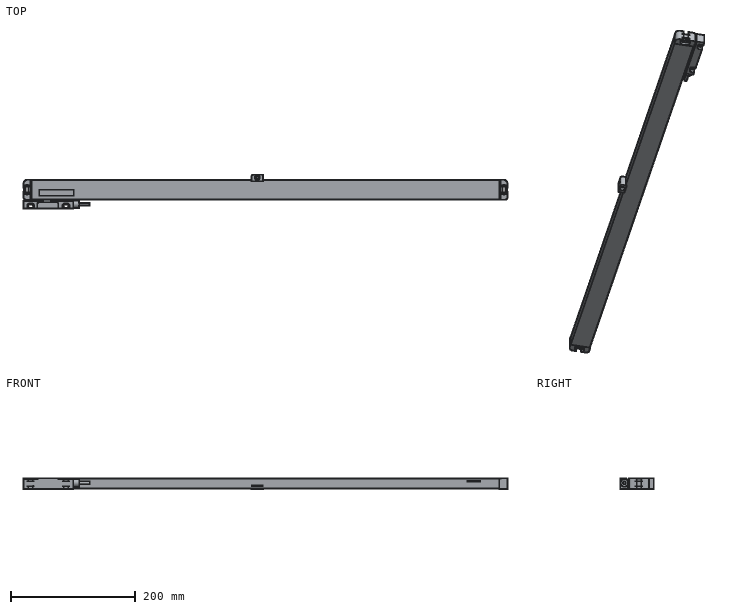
import cadquery as cq

LENGTH = 775.0
HEIGHT = 18.0
COUNTERBORE_DEPTH = 5.0

SCALE_FRONT = 14.0
SCALE_BACK = 46.5
SCALE_MID_Y = (SCALE_FRONT + SCALE_BACK) / 2
BAR_INSET = 0.4
BAR_EDGE_CHAMFER = 1.0
CAP_LENGTH = 13.0
CAP_BACK_RADIUS = 7.0
CAP_FRONT_RADIUS = 5.0
JOINT_GROOVE_WIDTH = 2.0
JOINT_GROOVE_DEPTH = 1.0
END_GROOVE_WIDTH = 7.0
END_GROOVE_DEPTH = 1.0

ALONG_X = 0
ALONG_Y = 90

CAP_SLOT_FROM_END = 5.8
CAP_SLOT_LENGTH = 10.0
CAP_SLOT_WIDTH = 5.0
CAP_BORE_LENGTH = 15.5
CAP_BORE_WIDTH = 12.5

RECESS_DEPTH = 0.4
LABEL_LEFT = 25.5
LABEL_LENGTH = 55.0
LABEL_FRONT = 21.0
LABEL_WIDTH = 9.0
MARK_HEIGHT = 1.5
LOWER_MARK_X = 374.0
LOWER_MARK_LENGTH = 17.0
LOWER_MARK_Z = 5.5
UPPER_MARK_X = 721.0
UPPER_MARK_LENGTH = 21.0
UPPER_MARK_Z = HEIGHT - LOWER_MARK_Z

TAB_MID_X = 374.0
TAB_LENGTH = 18.5
TAB_FRONT = 44.0
TAB_BACK = 54.0
TAB_CORNER_RADIUS = 3.0
TAB_HOLE_Y = 49.5
TAB_HOLE_DIAMETER = 4.0
TAB_BORE_DIAMETER = 8.0

HEAD_LENGTH = 80.0
HEAD_BACK = 12.5
EAR_HEIGHT = 16.0
PAD_LEFT = 22.5
PAD_RIGHT = 56.0
PAD_BACK = 10.0
PAD_CORNER_RADIUS = 2.0
BRIDGE_LEFT = 31.0
BRIDGE_RIGHT = 44.0

HEAD_SLOT_XS = (12.0, 68.0)
HEAD_SLOT_Y = 4.0
HEAD_SLOT_LENGTH = 8.5
HEAD_SLOT_WIDTH = 5.0
HEAD_BORE_LENGTH = 12.0
HEAD_BORE_WIDTH = 8.9

CABLE_Y = 7.0
CABLE_Z = 10.0
SLEEVE_RADIUS = 6.0
SLEEVE_END = 89.0
CABLE_RADIUS = 2.0
CABLE_END = 106.0


def block(x_range, y_range, z_range):
    """Box between two limits on each axis."""
    length, width, height = (high - low for low, high in (x_range, y_range, z_range))
    plane = cq.Workplane("XY", origin=(x_range[0], y_range[0], z_range[0]))
    return plane.box(length, width, height, centered=False)


def rod(start_x, end_x, radius):
    """Round rod along X on the cable axis."""
    plane = cq.Workplane("YZ", origin=(start_x, CABLE_Y, CABLE_Z))
    return plane.circle(radius).extrude(end_x - start_x)


def counterbored_slot(x, y, slot_size, bore_size, angle):
    """Cutter for a through slot that is counterbored from the top and the bottom."""
    plane = cq.Workplane("XY", origin=(x, y, 0))
    through = plane.slot2D(*slot_size, angle).extrude(HEIGHT)
    lower_bore = plane.slot2D(*bore_size, angle).extrude(COUNTERBORE_DEPTH)
    upper_bore = lower_bore.translate((0, 0, HEIGHT - COUNTERBORE_DEPTH))
    return through.union(lower_bore).union(upper_bore)


def make_left_cap():
    """End cap with rounded outer corners, a joint groove, an end groove and a screw slot."""
    cap = block((0, CAP_LENGTH), (SCALE_FRONT, SCALE_BACK), (0, HEIGHT))
    cap = cap.edges("|Z and <X and >Y").fillet(CAP_BACK_RADIUS)
    cap = cap.edges("|Z and <X and <Y").fillet(CAP_FRONT_RADIUS)
    joint_groove = block(
        (CAP_LENGTH - JOINT_GROOVE_WIDTH, CAP_LENGTH),
        (SCALE_FRONT, SCALE_BACK),
        (HEIGHT - JOINT_GROOVE_DEPTH, HEIGHT),
    )
    end_groove = block(
        (0, END_GROOVE_DEPTH),
        (SCALE_MID_Y - END_GROOVE_WIDTH / 2, SCALE_MID_Y + END_GROOVE_WIDTH / 2),
        (0, HEIGHT),
    )
    cap = cap.cut(joint_groove).cut(end_groove)
    return cap.cut(
        counterbored_slot(
            CAP_SLOT_FROM_END,
            SCALE_MID_Y,
            (CAP_SLOT_LENGTH, CAP_SLOT_WIDTH),
            (CAP_BORE_LENGTH, CAP_BORE_WIDTH),
            ALONG_Y,
        )
    )


def make_bar():
    """Long bar with bevelled front edges, a label recess and two front marks."""
    front = SCALE_FRONT + BAR_INSET
    top = HEIGHT - BAR_INSET
    bar = block((CAP_LENGTH, LENGTH - CAP_LENGTH), (front, SCALE_BACK - BAR_INSET), (BAR_INSET, top))
    bar = bar.edges("|X and <Y").chamfer(BAR_EDGE_CHAMFER)
    label = block(
        (LABEL_LEFT, LABEL_LEFT + LABEL_LENGTH),
        (LABEL_FRONT, LABEL_FRONT + LABEL_WIDTH),
        (top - RECESS_DEPTH, top),
    )
    bar = bar.cut(label)
    marks = (
        (LOWER_MARK_X, LOWER_MARK_Z, LOWER_MARK_LENGTH),
        (UPPER_MARK_X, UPPER_MARK_Z, UPPER_MARK_LENGTH),
    )
    for x, z, length in marks:
        mark = block(
            (x - length / 2, x + length / 2),
            (front, front + RECESS_DEPTH),
            (z - MARK_HEIGHT / 2, z + MARK_HEIGHT / 2),
        )
        bar = bar.cut(mark)
    return bar


def make_tab():
    """Mounting tab with one rounded corner."""
    left = TAB_MID_X - TAB_LENGTH / 2
    tab = block((left, left + TAB_LENGTH), (TAB_FRONT, TAB_BACK), (0, HEIGHT))
    return tab.edges("|Z and <X and >Y").fillet(TAB_CORNER_RADIUS)


def make_tab_hole():
    """Cutter for the tab's counterbored hole."""
    plane = cq.Workplane("XY", origin=(TAB_MID_X, TAB_HOLE_Y, 0))
    through = plane.circle(TAB_HOLE_DIAMETER / 2).extrude(HEIGHT)
    lower_bore = plane.circle(TAB_BORE_DIAMETER / 2).extrude(COUNTERBORE_DEPTH)
    upper_bore = lower_bore.translate((0, 0, HEIGHT - COUNTERBORE_DEPTH))
    return through.union(lower_bore).union(upper_bore)


def make_scale():
    """Bar, two mirrored end caps and the rear tab as one solid."""
    left_cap = make_left_cap()
    right_cap = left_cap.mirror("YZ", (LENGTH / 2, 0, 0))
    scale = make_bar().union(left_cap).union(right_cap).union(make_tab())
    return scale.cut(make_tab_hole())


def make_reader_head():
    """Reader head with a raised pad, a bridge to the bar, screw slots and a cable outlet."""
    head = block((0, HEAD_LENGTH), (0, HEAD_BACK), (0, EAR_HEIGHT))
    pad = block((PAD_LEFT, PAD_RIGHT), (0, PAD_BACK), (0, HEIGHT))
    head = head.union(pad.edges("|Z and >Y").fillet(PAD_CORNER_RADIUS))
    bridge = block(
        (BRIDGE_LEFT, BRIDGE_RIGHT),
        (HEAD_BACK, SCALE_FRONT + BAR_INSET),
        (HEIGHT - EAR_HEIGHT, EAR_HEIGHT),
    )
    head = head.union(bridge)
    for x in HEAD_SLOT_XS:
        slot = counterbored_slot(
            x,
            HEAD_SLOT_Y,
            (HEAD_SLOT_LENGTH, HEAD_SLOT_WIDTH),
            (HEAD_BORE_LENGTH, HEAD_BORE_WIDTH),
            ALONG_X,
        )
        head = head.cut(slot)
    head = head.union(rod(HEAD_LENGTH, SLEEVE_END, SLEEVE_RADIUS))
    return head.union(rod(SLEEVE_END, CABLE_END, CABLE_RADIUS))


scale = make_scale()
reader_head = make_reader_head()
result = cq.Compound.makeCompound([scale.val(), reader_head.val()])